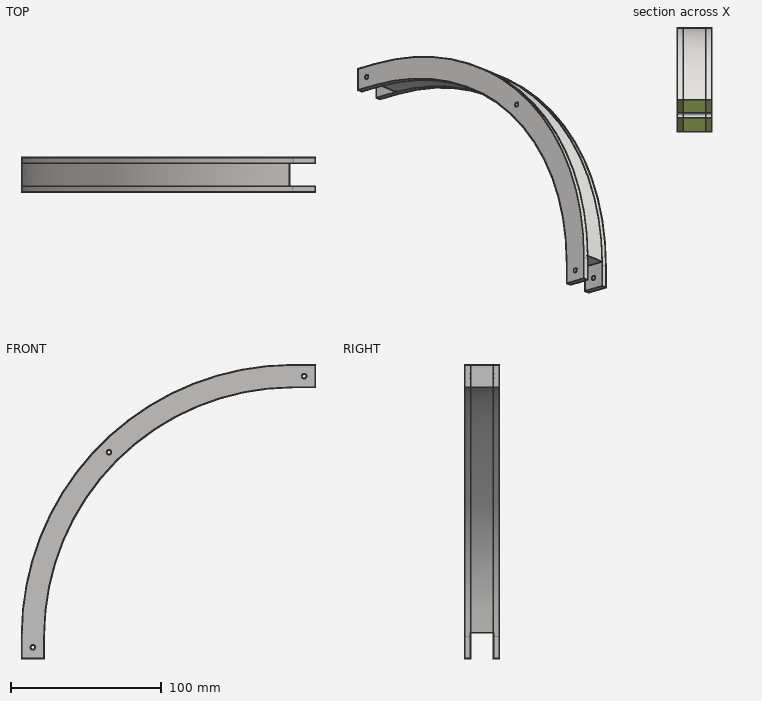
import cadquery as cq
import math

overall_length = 195.0
overall_width = 23.0
web_width = 15.0
rail_depth = 15.0
tab_length = 15.0
web_end_setback = 17.2
hole_diameter = 3.0

plate_thickness = (overall_width - web_width) / 2
outer_radius = overall_length - tab_length
inner_radius = outer_radius - rail_depth
middle_radius = (outer_radius + inner_radius) / 2
center_x = overall_length - tab_length
center_z = tab_length
diagonal = math.sqrt(0.5)


def point_on_bend(radius):
    """Point at the middle of the quarter bend, at the given radius."""
    return (center_x - radius * diagonal, center_z + radius * diagonal)


def extrude_along_y(outline, y_start, width):
    """Extrude an XZ outline from y_start toward +Y."""
    return outline.extrude(-width).translate((0, y_start, 0))


def make_bend(y_start, width):
    """Quarter bend with a straight tab at each end."""
    outline = (
        cq.Workplane("XZ")
        .moveTo(0, 0)
        .lineTo(0, center_z)
        .threePointArc(point_on_bend(outer_radius), (center_x, overall_length))
        .lineTo(overall_length, overall_length)
        .lineTo(overall_length, overall_length - rail_depth)
        .lineTo(center_x, overall_length - rail_depth)
        .threePointArc(point_on_bend(inner_radius), (rail_depth, center_z))
        .lineTo(rail_depth, 0)
        .close()
    )
    return extrude_along_y(outline, y_start, width)


def cut_holes(body, hole_centers):
    """Cut holes along Y through the full width of a body."""
    hole_outlines = cq.Workplane("XZ").pushPoints(hole_centers).circle(hole_diameter / 2)
    return body.cut(extrude_along_y(hole_outlines, -overall_width / 2, overall_width))


def make_side_plate(y_start):
    """Curved side plate with a hole in each tab and one halfway along the bend."""
    hole_centers = [
        (rail_depth / 2, tab_length / 2),
        middle_hole_center,
        (overall_length - tab_length / 2, overall_length - rail_depth / 2),
    ]
    return cut_holes(make_bend(y_start, plate_thickness), hole_centers)


def make_web():
    """Curved web between the plates, cut square short of the tabs, with the middle hole."""
    length = overall_length - web_end_setback
    envelope = cq.Workplane("XY").box(length, web_width, length, centered=(False, True, False))
    envelope = envelope.translate((0, 0, web_end_setback))
    web_body = make_bend(-web_width / 2, web_width).intersect(envelope)
    return cut_holes(web_body, [middle_hole_center])


middle_hole_center = point_on_bend(middle_radius)

side_plates = []
for plate_y_start in (-overall_width / 2, web_width / 2):
    side_plates.append(make_side_plate(plate_y_start).val())

web = make_web()

result = cq.Compound.makeCompound([web.val(), *side_plates])